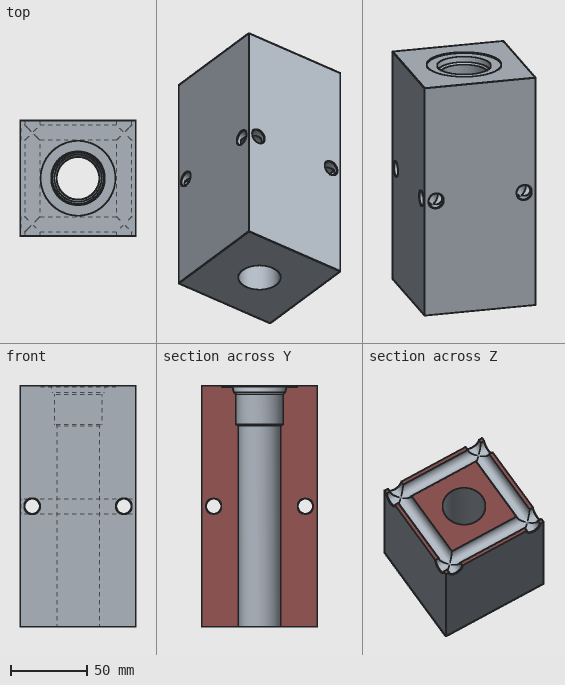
import cadquery as cq
import math

width = 76.2
height = 158.75
edge_chamfer = 0.254

spotface_diameter = 49.2
spotface_depth = 0.8
seal_cone_top_diameter = 35.5
seal_cone_bottom_diameter = 33.7
seal_cone_depth = 3.5
thread_chamfer_depth = 1.3
thread_diameter = 31.0
thread_depth = 25.4
through_bore_diameter = 27.9
drill_point_angle = 118

mount_hole_diameter = 9.9
mount_hole_edge_distance = 7.9375
mount_hole_chamfer = 0.4
mount_hole_offset = width / 2 - mount_hole_edge_distance


def make_block():
    """Square block centred on the origin, with its edges broken."""
    return cq.Workplane("XY").box(width, width, height).edges().chamfer(edge_chamfer)


def make_port():
    """Revolved cutter: spotface, seal cone, thread bore, drill-point step and through bore."""
    top = height / 2
    spotface_floor = top - spotface_depth
    cone_floor = spotface_floor - seal_cone_depth
    thread_start = cone_floor - thread_chamfer_depth
    thread_floor = top - thread_depth
    step_width = (thread_diameter - through_bore_diameter) / 2
    step_drop = step_width / math.tan(math.radians(drill_point_angle / 2))
    profile = [
        (0, top),
        (spotface_diameter / 2, top),
        (spotface_diameter / 2, spotface_floor),
        (seal_cone_top_diameter / 2, spotface_floor),
        (seal_cone_bottom_diameter / 2, cone_floor),
        (thread_diameter / 2, thread_start),
        (thread_diameter / 2, thread_floor),
        (through_bore_diameter / 2, thread_floor - step_drop),
        (through_bore_diameter / 2, -height / 2),
        (0, -height / 2),
    ]
    return cq.Workplane("XZ").polyline(profile).close().revolve(360, (0, 0), (0, 1))


def make_mount_hole():
    """Cutter along Y for one through hole, chamfered at both mouths."""
    half = width / 2
    radius = mount_hole_diameter / 2
    mouth_radius = radius + mount_hole_chamfer
    profile = [
        (0, -half),
        (mouth_radius, -half),
        (radius, -half + mount_hole_chamfer),
        (radius, half - mount_hole_chamfer),
        (mouth_radius, half),
        (0, half),
    ]
    return cq.Workplane("XY").polyline(profile).close().revolve(360, (0, 0), (0, 1))


result = make_block().cut(make_port())
for side in (-1, 1):
    hole_along_y = make_mount_hole().translate((side * mount_hole_offset, 0, 0))
    hole_along_x = hole_along_y.rotate((0, 0, 0), (0, 0, 1), 90)
    result = result.cut(hole_along_y).cut(hole_along_x)